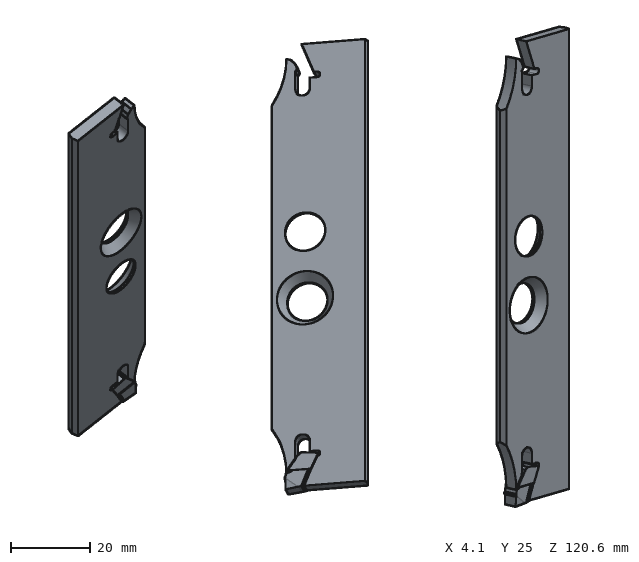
import cadquery as cq

total_length = 120.6
blade_length = 120.0
blade_width = 25.0
blade_thickness = 3.4
ridge_depth = 0.5
mid_length = blade_length / 2

hole_radius = 5.2
hole_y = 15.9
hole_spacing = 18.0
countersink_radius = 7.2
countersink_depth = 2.7

jaw_tip_y = 16.9
jaw_root_y = 13.8
relief_top = 7.8
relief_bottom = 9.3
relief_radius = (relief_bottom - relief_top) / 2
relief_end_y = 12.1
slot_width = 3.7
slot_inner_y = 14.7
slot_outer_y = slot_inner_y + slot_width
slot_depth = 14.0
slot_arc_start = slot_depth - slot_width / 2
arm_tip_y = 20.7
arm_tip_depth = 3.7
arm_crown_y = 19.5
arm_crown_depth = 4.1
arm_cheek_y = 18.5
arm_cheek_depth = 5.3
arm_nose_y = 18.0
arm_nose_depth = 6.6
arm_neck_depth = 7.5
arm_back_y = 22.2
arm_back_depth = 11.6
arm_root_depth = 16.8

insert_thickness = 4.1
head_thickness = 3.9
insert_front_y = 21.0
insert_drop = blade_length - total_length
heel_y = 17.5
heel_z = -0.2
seat_end_y = 16.2
seat_bend_y = 14.4
head_height = 4.3
shank_tip_y = 12.4
shank_tip_z = 8.5
shank_top_y = 16.8
shank_top_z = 9.0
shank_shoulder_y = 17.6
shank_foot_y = 20.6
edge_ridge_y = 21.2
edge_ridge_z = 2.4
edge_ridge_half = 0.4
bevel_leg_y = 3.7
bevel_leg_z = 3.0
bevel_depth = 0.2


def across(outline, thickness):
    """Extrude a closed Y-Z outline evenly to both sides of X = 0."""
    return outline.extrude(thickness / 2, both=True)


def make_bar():
    half = blade_thickness / 2
    return (
        cq.Workplane("XY")
        .moveTo(0, 0)
        .lineTo(half, ridge_depth)
        .lineTo(half, blade_width - ridge_depth)
        .lineTo(0, blade_width)
        .lineTo(-half, blade_width - ridge_depth)
        .lineTo(-half, ridge_depth)
        .close()
        .extrude(blade_length)
    )


def make_seat_cutter():
    """Open pocket, relief notch, slot and arm back at the lower end of the blade."""
    outline = (
        cq.Workplane("YZ")
        .moveTo(jaw_tip_y, 0)
        .lineTo(jaw_root_y, relief_top)
        .lineTo(relief_end_y + relief_radius, relief_top)
        .threePointArc(
            (relief_end_y, relief_top + relief_radius),
            (relief_end_y + relief_radius, relief_bottom),
        )
        .lineTo(slot_inner_y, relief_bottom)
        .lineTo(slot_inner_y, slot_arc_start)
        .threePointArc(
            (slot_inner_y + slot_width / 2, slot_depth),
            (slot_outer_y, slot_arc_start),
        )
        .lineTo(slot_outer_y, arm_neck_depth)
        .lineTo(arm_nose_y, arm_nose_depth)
        .lineTo(arm_cheek_y, arm_cheek_depth)
        .lineTo(arm_crown_y, arm_crown_depth)
        .lineTo(arm_tip_y, arm_tip_depth)
        .threePointArc((arm_back_y, arm_back_depth), (blade_width, arm_root_depth))
        .lineTo(blade_width, 0)
        .close()
    )
    return across(outline, insert_thickness)


def make_hole(side, z):
    """Through hole countersunk from the face on the given side (-1 or 1) of X."""
    drill = across(cq.Workplane("YZ").center(hole_y, z).circle(hole_radius), blade_thickness)
    countersink = cq.Solid.makeCone(
        countersink_radius,
        hole_radius,
        countersink_depth,
        pnt=cq.Vector(side * blade_thickness / 2, hole_y, z),
        dir=cq.Vector(-side, 0, 0),
    )
    return drill.union(cq.Workplane(countersink))


def make_blade():
    lower_seat = make_seat_cutter()
    upper_seat = lower_seat.mirror("XY", (0, 0, mid_length))
    blade = make_bar().cut(lower_seat).cut(upper_seat)
    for side in (-1, 1):
        blade = blade.cut(make_hole(side, mid_length + side * hole_spacing / 2))
    return blade


def make_insert(blade):
    head = across(
        cq.Workplane("YZ")
        .moveTo(insert_front_y, insert_drop)
        .lineTo(heel_y, heel_z)
        .lineTo(seat_end_y, 0)
        .lineTo(seat_bend_y, head_height)
        .lineTo(shank_foot_y, head_height)
        .lineTo(insert_front_y, edge_ridge_z + edge_ridge_half)
        .lineTo(edge_ridge_y, edge_ridge_z)
        .lineTo(insert_front_y, edge_ridge_z - edge_ridge_half)
        .close(),
        head_thickness,
    )
    shank = across(
        cq.Workplane("YZ")
        .moveTo(seat_bend_y, head_height)
        .lineTo(shank_tip_y, shank_tip_z)
        .lineTo(shank_top_y, shank_top_z)
        .lineTo(shank_shoulder_y, shank_tip_z)
        .lineTo(shank_foot_y, head_height)
        .close(),
        insert_thickness,
    )
    side = -head_thickness / 2
    corner = cq.Vector(side, insert_front_y, insert_drop)
    along_y = corner - cq.Vector(0, bevel_leg_y, 0)
    along_z = corner + cq.Vector(0, 0, bevel_leg_z)
    inward = corner + cq.Vector(bevel_depth, 0, 0)
    faces = [
        cq.Face.makeFromWires(cq.Wire.makePolygon(points, close=True))
        for points in (
            [corner, along_y, along_z],
            [corner, along_y, inward],
            [corner, along_z, inward],
            [along_y, along_z, inward],
        )
    ]
    bevel = cq.Solid.makeSolid(cq.Shell.makeShell(faces))
    return head.union(shank).cut(cq.Workplane(bevel)).cut(blade)


blade = make_blade()
insert = make_insert(blade)
result = cq.Compound.makeCompound([blade.val(), *insert.vals()])